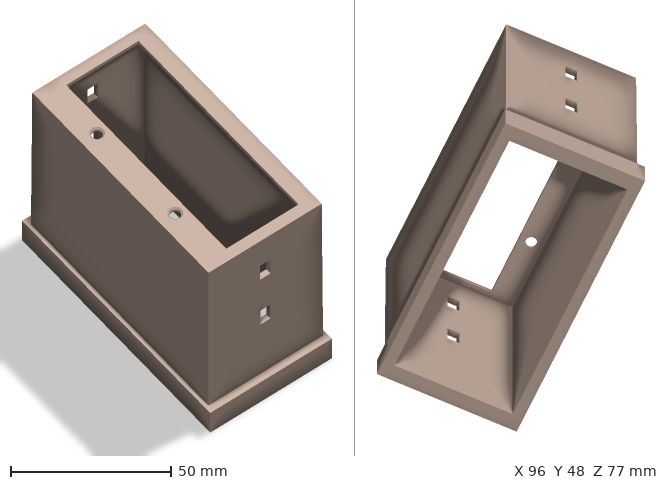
import cadquery as cq

base_length = 96.0
base_width = 48.0
base_height = 10.0
total_height = 77.0

body_bottom_length = 90.5
body_bottom_width = 45.2
taper_inset = 0.3
body_height = total_height - base_height
body_top_length = body_bottom_length - 2 * taper_inset
body_top_width = body_bottom_width - 2 * taper_inset

wall = 2.0
top_plate = 1.5
cavity_length = body_top_length - 2 * wall
cavity_width = body_top_width - 2 * wall

window_length = 81.6
window_width = 28.5
window_offset = 2.1

hole_spacing = 39.9
hole_y = -16.1
hole_diameter = 3.6
countersink_diameter = 5.0
countersink_angle = 90

slot_width = 4.0
slot_height = 7.0
slot_centers_z = (38.3, 61.1)


def make_shell():
    base = cq.Workplane("XY").box(base_length, base_width, base_height, centered=(True, True, False))
    body = (
        cq.Workplane("XY")
        .workplane(offset=base_height)
        .rect(body_bottom_length, body_bottom_width)
        .workplane(offset=body_height)
        .rect(body_top_length, body_top_width)
        .loft(ruled=True)
    )
    cavity = cq.Workplane("XY").rect(cavity_length, cavity_width).extrude(total_height - top_plate)
    return base.union(body).cut(cavity)


def cut_window(part):
    window = (
        cq.Workplane("XY")
        .center(0, window_offset)
        .rect(window_length, window_width)
        .extrude(total_height)
    )
    return part.cut(window)


def cut_screw_holes(part):
    return (
        part.copyWorkplane(cq.Workplane("XY", origin=(0, 0, total_height)))
        .pushPoints([(-hole_spacing / 2, hole_y), (hole_spacing / 2, hole_y)])
        .cskHole(hole_diameter, countersink_diameter, countersink_angle, depth=2 * top_plate)
    )


def cut_end_slots(part):
    for center_z in slot_centers_z:
        slot = cq.Workplane("XY").box(base_length, slot_width, slot_height)
        part = part.cut(slot.translate((0, 0, center_z)))
    return part


result = cut_end_slots(cut_screw_holes(cut_window(make_shell())))